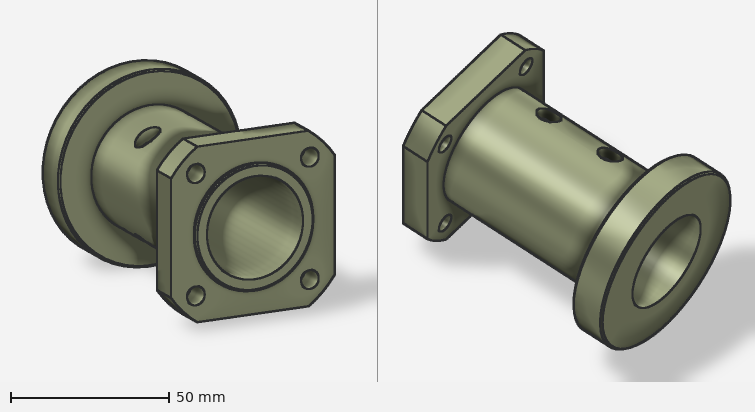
import cadquery as cq

total_length = 85.5
bore_diameter = 34.0
tube_diameter = 42.0
edge_chamfer = 0.6

flange_diameter = 65.0
flange_thickness = 12.0

plate_width = 58.0
plate_corner_diameter = 70.1
plate_thickness = 10.0
end_lip_length = 1.45
plate_start = total_length - end_lip_length - plate_thickness

mount_hole_diameter = 6.2
mount_hole_spacing = 40.35

cross_hole_diameter = 8.0
cross_hole_first_x = 32.2
cross_hole_pitch = 25.05
cross_hole_y = -11.2


def cylinder_along_x(diameter, start, length):
    return cq.Workplane("YZ", origin=(start, 0, 0)).circle(diameter / 2).extrude(length)


def mounting_plate():
    square = (
        cq.Workplane("YZ", origin=(plate_start, 0, 0))
        .rect(plate_width, plate_width)
        .extrude(plate_thickness)
    )
    plate = square.intersect(cylinder_along_x(plate_corner_diameter, plate_start, plate_thickness))
    return (
        plate.faces("<X").workplane(centerOption="CenterOfBoundBox")
        .rect(mount_hole_spacing, mount_hole_spacing, forConstruction=True)
        .vertices()
        .hole(mount_hole_diameter)
    )


def cross_holes():
    middle_x = cross_hole_first_x + cross_hole_pitch / 2
    return (
        cq.Workplane("XY", origin=(middle_x, cross_hole_y, 0))
        .rarray(cross_hole_pitch, 0.85, 2, 1)
        .circle(cross_hole_diameter / 2)
        .extrude(tube_diameter / 2, both=True)
    )


flange = cylinder_along_x(flange_diameter, 0, flange_thickness).edges().chamfer(edge_chamfer)
tube = cylinder_along_x(tube_diameter, 0, total_length).faces(">X").edges().chamfer(edge_chamfer)
bore = cylinder_along_x(bore_diameter, 0, total_length)

result = flange.union(tube).union(mounting_plate()).cut(bore).cut(cross_holes())